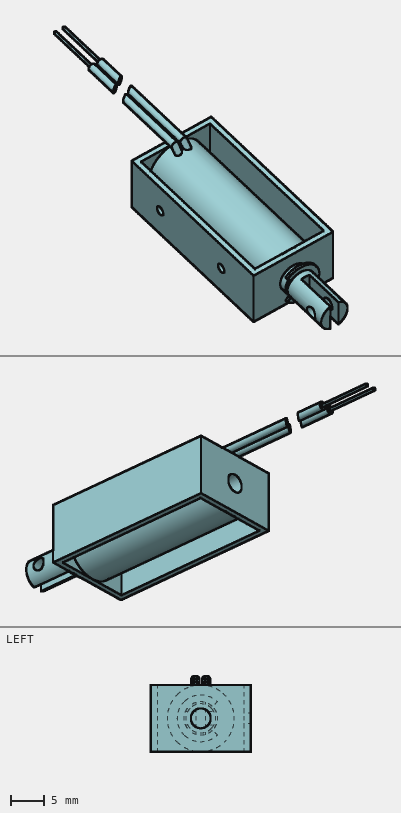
import cadquery as cq

OVERALL_LENGTH = 67.5
OVERALL_HEIGHT = 11.35

FRAME_LENGTH = 30.0
FRAME_WIDTH = 15.0
FRAME_HEIGHT = 10.0
FRAME_WALL = 1.0
FRAME_END_X = 57.45
FRAME_START_X = FRAME_END_X - FRAME_LENGTH
REAR_HOLE_DIAMETER = 3.0
MOUNT_HOLE_DIAMETER = 1.55
MOUNT_HOLE_SPACING = 15.0
FIRST_MOUNT_HOLE_X = 34.5

COIL_DIAMETER = FRAME_HEIGHT
COIL_START_X = FRAME_START_X + FRAME_WALL
COIL_LENGTH = FRAME_LENGTH - 2 * FRAME_WALL
REAR_BORE_LENGTH = 6.75

PLUNGER_DIAMETER = 5.0
PLUNGER_START_X = COIL_START_X + REAR_BORE_LENGTH
FORK_SLOT_LENGTH = 7.1
FORK_SLOT_WIDTH = 1.5
PIN_HOLE_DIAMETER = 2.0
PIN_HOLE_FROM_TIP = 2.5

GROOVE_DIAMETER = 4.4
CLIP_DIAMETER = 7.0
CLIP_THICKNESS = 0.5
CLIP_START_X = FRAME_END_X + 1.3

JACKET_DIAMETER = 1.3
WIRE_SPACING = 1.6
CORE_DIAMETER = 0.5
WIRE_SIDES = (-WIRE_SPACING / 2, WIRE_SPACING / 2)
WIRE_Z = OVERALL_HEIGHT - FRAME_HEIGHT / 2 - JACKET_DIAMETER / 2
TIP_LENGTH = 9.0
STUB_CUT_X = 14.25
LEAD_CUT_X = 16.7
CUT_RUN = 1.6
LEAD_BEND_X = 29.4
BEND_DROP = 1.6
CUT_HALF_WIDTH = (WIRE_SPACING + JACKET_DIAMETER) / 2


def rod(diameter, start_x, end_x, y=0.0, z=0.0):
    """Round bar parallel to X."""
    profile = cq.Workplane("YZ", origin=(start_x, y, z)).circle(diameter / 2)
    return profile.extrude(end_x - start_x)


def cross_hole(diameter, x):
    """Cutter along Y, from the axis out past the -Y side."""
    return cq.Workplane("XZ", origin=(x, 0, 0)).circle(diameter / 2).extrude(FRAME_WIDTH)


def make_frame():
    """Rectangular frame open at the top and bottom, with mounting holes."""
    frame = cq.Workplane().box(FRAME_LENGTH, FRAME_WIDTH, FRAME_HEIGHT)
    inside = cq.Workplane().box(COIL_LENGTH, FRAME_WIDTH - 2 * FRAME_WALL, FRAME_HEIGHT)
    frame = frame.cut(inside).translate((FRAME_START_X + FRAME_LENGTH / 2, 0, 0))
    for x in (FIRST_MOUNT_HOLE_X, FIRST_MOUNT_HOLE_X + MOUNT_HOLE_SPACING):
        frame = frame.cut(cross_hole(MOUNT_HOLE_DIAMETER, x))
    return frame


def slanted_side(cut_x, far_x):
    """Block between a slanted cut across the wire and a plane at far_x."""
    corners = [
        (cut_x - CUT_RUN / 2, CUT_HALF_WIDTH),
        (cut_x + CUT_RUN / 2, -CUT_HALF_WIDTH),
        (far_x, -CUT_HALF_WIDTH),
        (far_x, CUT_HALF_WIDTH),
    ]
    block = cq.Workplane("XY", origin=(0, 0, WIRE_Z)).polyline(corners).close()
    return block.extrude(JACKET_DIAMETER, both=True)


def make_lead(y):
    """Wire running over the frame end, then sloping down at 45 degrees into the coil."""
    lead = rod(JACKET_DIAMETER, LEAD_CUT_X - CUT_RUN, LEAD_BEND_X, y, WIRE_Z)
    lead = lead.intersect(slanted_side(LEAD_CUT_X, LEAD_BEND_X))
    bend = cq.Solid.extrudeLinear(
        lead.faces(">X").wires().val(), [], cq.Vector(BEND_DROP, 0, -BEND_DROP)
    )
    return lead.union(cq.Workplane(bend))


def make_housing():
    """Frame, coil and leads in one piece, bored along the axis."""
    housing = make_frame().union(rod(COIL_DIAMETER, COIL_START_X, COIL_START_X + COIL_LENGTH))
    housing = housing.cut(rod(REAR_HOLE_DIAMETER, FRAME_START_X, PLUNGER_START_X))
    housing = housing.cut(rod(PLUNGER_DIAMETER, PLUNGER_START_X, FRAME_END_X))
    for y in WIRE_SIDES:
        housing = housing.union(make_lead(y))
    return housing


def make_plunger():
    plunger = rod(PLUNGER_DIAMETER, PLUNGER_START_X, OVERALL_LENGTH)
    clip_end_x = CLIP_START_X + CLIP_THICKNESS
    groove = rod(PLUNGER_DIAMETER, CLIP_START_X, clip_end_x)
    groove = groove.cut(rod(GROOVE_DIAMETER, CLIP_START_X, clip_end_x))
    slot = cq.Workplane().box(FORK_SLOT_LENGTH, FORK_SLOT_WIDTH, PLUNGER_DIAMETER)
    slot = slot.translate((OVERALL_LENGTH - FORK_SLOT_LENGTH / 2, 0, 0))
    pin_hole = cross_hole(PIN_HOLE_DIAMETER, OVERALL_LENGTH - PIN_HOLE_FROM_TIP)
    pin_hole = pin_hole.union(pin_hole.mirror("XZ"))
    return plunger.cut(groove).cut(slot).cut(pin_hole)


def make_clip():
    """Ring with a right-angled wedge opening toward -Y."""
    clip_end_x = CLIP_START_X + CLIP_THICKNESS
    clip = rod(CLIP_DIAMETER, CLIP_START_X, clip_end_x)
    clip = clip.cut(rod(GROOVE_DIAMETER, CLIP_START_X, clip_end_x))
    corners = [(0, 0), (-CLIP_DIAMETER, CLIP_DIAMETER), (-CLIP_DIAMETER, -CLIP_DIAMETER)]
    wedge = cq.Workplane("YZ", origin=(CLIP_START_X, 0, 0)).polyline(corners).close()
    return clip.cut(wedge.extrude(CLIP_THICKNESS))


def make_wire_stub(y):
    """Cut-off wire end with its bare core."""
    stub = rod(JACKET_DIAMETER, TIP_LENGTH, STUB_CUT_X + CUT_RUN, y, WIRE_Z)
    stub = stub.intersect(slanted_side(STUB_CUT_X, TIP_LENGTH))
    return stub.union(rod(CORE_DIAMETER, 0, TIP_LENGTH, y, WIRE_Z))


housing = make_housing()
plunger = make_plunger()
clip = make_clip()
wire_stubs = [make_wire_stub(y).val() for y in WIRE_SIDES]

result = cq.Compound.makeCompound([housing.val(), plunger.val(), clip.val(), *wire_stubs])